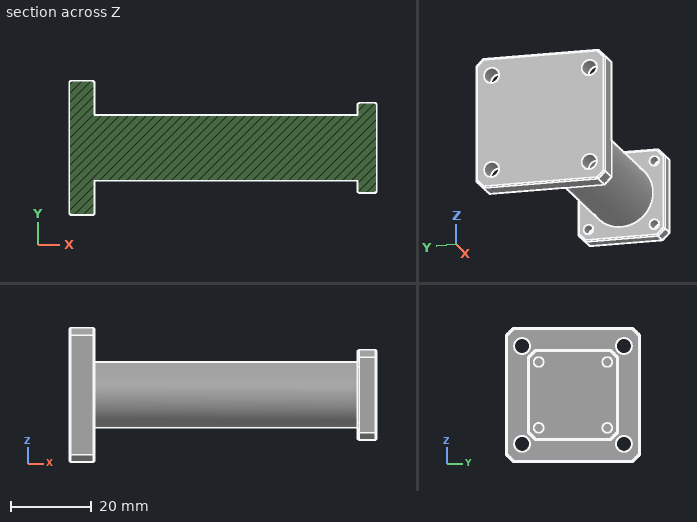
import cadquery as cq

total_length = 76.2
tube_diameter = 16.4

large_side = 33.3
large_thickness = 6.3
large_hole_diameter = 3.9
large_hole_spacing_y = 25.2
large_hole_spacing_z = 24.2

small_side = 22.4
small_thickness = 4.8
small_hole_diameter = 2.45
small_hole_spacing_y = 17.0
small_hole_spacing_z = 16.3

corner_chamfer = 1.8
face_edge_chamfer = 0.4


def make_flange(start_x, side, thickness, hole_diameter, spacing_y, spacing_z):
    """Square plate normal to X with cut corners, beveled rims and four through holes."""
    plate = (
        cq.Workplane("YZ", origin=(start_x, 0, 0))
        .rect(side, side)
        .extrude(thickness)
        .edges("|X")
        .chamfer(corner_chamfer)
        .faces("<X or >X")
        .chamfer(face_edge_chamfer)
    )
    holes = (
        cq.Workplane("YZ", origin=(start_x, 0, 0))
        .rect(spacing_y, spacing_z, forConstruction=True)
        .vertices()
        .circle(hole_diameter / 2)
        .extrude(thickness)
    )
    return plate.cut(holes)


large_flange = make_flange(
    0, large_side, large_thickness,
    large_hole_diameter, large_hole_spacing_y, large_hole_spacing_z,
)
small_flange = make_flange(
    total_length - small_thickness, small_side, small_thickness,
    small_hole_diameter, small_hole_spacing_y, small_hole_spacing_z,
)

tube_length = total_length - large_thickness - small_thickness
tube = (
    cq.Workplane("YZ", origin=(large_thickness, 0, 0))
    .circle(tube_diameter / 2)
    .extrude(tube_length)
)

result = large_flange.union(tube).union(small_flange)